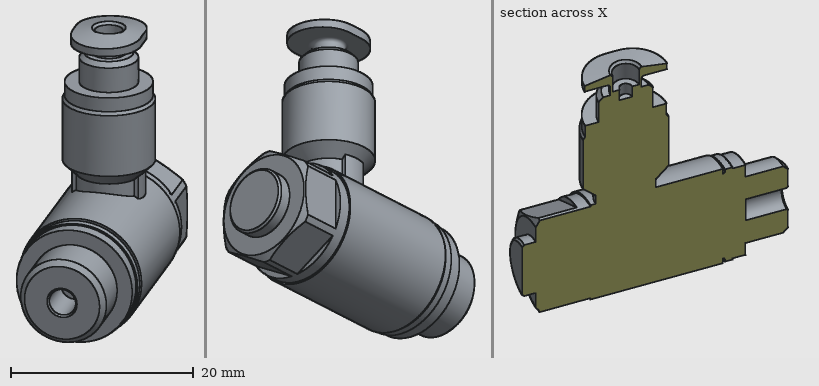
import cadquery as cq
import math

thread_end_y = -19.25
flange_front_y = -14.2
ring_front_y = -12.65
groove_front_y = -11.75
body_front_y = -11.5
body_back_y = 4.2
hex_front_y = 5.65
hex_back_y = 10.7
stub_end_y = 12.3

thread_d = 9.73
thread_chamfer = 0.6
flange_d = 13.15
ring_d = 13.5
groove_min_d = 12.2
groove_max_d = 12.8
body_d = 13.8
collar_d = 13.4
stub_d = 7.5
stub_chamfer = 0.25

hex_sides = 6
hex_across_flats = 12.0
hex_corner_d = 13.4
hex_bevel_angle = 30.0
hex_bevel_width = 0.85

inlet_d = 3.0
inlet_depth = 5.0
inlet_chamfer = 0.2

neck_top_z = 8.0
barrel_base_z = 9.5
barrel_shoulder_z = 16.65
barrel_ring_z = 17.03
barrel_top_z = 18.65
plunger_top_z = 22.08
cap_base_z = 23.55
cap_edge_z = 24.45
cap_top_z = 25.0

neck_d = 7.2
barrel_d = 10.2
barrel_ring_d = 9.7
plunger_d = 6.5
plunger_chamfer = 0.55
stem_d = 3.7
stem_fillet = 0.4

lug_d = 8.1
lug_width = 3.0

cap_length = 9.8
cap_width = 7.8

socket_mouth_d = 3.7
socket_d = 3.1
socket_depth = 2.5
socket_chamfer = (socket_mouth_d - socket_d) / 2
pilot_d = 1.5
pilot_depth = 1.5


def turned_about_y(profile):
    """Revolve (radius, y) points about the Y axis."""
    return cq.Workplane("XY").polyline(profile).close().revolve(360, (0, 0, 0), (0, 1, 0))


def turned_about_z(profile):
    """Revolve (radius, z) points about the Z axis."""
    return cq.Workplane("XZ").polyline(profile).close().revolve(360, (0, 0, 0), (0, 1, 0))


def make_body():
    thread_r = thread_d / 2
    flange_r = flange_d / 2
    ring_r = ring_d / 2
    body_r = body_d / 2
    collar_r = collar_d / 2
    stub_r = stub_d / 2
    return turned_about_y([
        (0, thread_end_y),
        (thread_r - thread_chamfer, thread_end_y),
        (thread_r, thread_end_y + thread_chamfer),
        (thread_r, flange_front_y),
        (flange_r, flange_front_y),
        (flange_r, ring_front_y),
        (ring_r, ring_front_y),
        (ring_r, groove_front_y),
        (groove_max_d / 2, groove_front_y),
        (groove_min_d / 2, body_front_y),
        (body_r, body_front_y),
        (body_r, body_back_y),
        (collar_r, body_back_y),
        (collar_r, hex_front_y),
        (stub_r, hex_front_y),
        (stub_r, stub_end_y - stub_chamfer),
        (stub_r - stub_chamfer, stub_end_y),
        (0, stub_end_y),
    ])


def make_hex():
    corner_r = hex_corner_d / 2
    bevel_length = hex_bevel_width * math.tan(math.radians(hex_bevel_angle))
    prism = (
        cq.Workplane("XZ", origin=(0, hex_front_y, 0))
        .polygon(hex_sides, hex_across_flats, circumscribed=True)
        .extrude(hex_front_y - hex_back_y)
    )
    envelope = turned_about_y([
        (0, hex_front_y),
        (corner_r, hex_front_y),
        (corner_r, hex_back_y - bevel_length),
        (corner_r - hex_bevel_width, hex_back_y),
        (0, hex_back_y),
    ])
    return prism.intersect(envelope)


def make_upright():
    """Neck, barrel, plunger and stem, starting inside the body."""
    neck_r = neck_d / 2
    barrel_r = barrel_d / 2
    barrel_ring_r = barrel_ring_d / 2
    plunger_r = plunger_d / 2
    stem_r = stem_d / 2
    return (
        cq.Workplane("XZ")
        .lineTo(neck_r, 0)
        .lineTo(neck_r, neck_top_z)
        .lineTo(barrel_r, barrel_base_z)
        .lineTo(barrel_r, barrel_shoulder_z)
        .lineTo(barrel_ring_r, barrel_ring_z)
        .lineTo(barrel_ring_r, barrel_top_z)
        .lineTo(plunger_r, barrel_top_z)
        .lineTo(plunger_r, plunger_top_z - plunger_chamfer)
        .lineTo(plunger_r - plunger_chamfer, plunger_top_z)
        .lineTo(stem_r, plunger_top_z)
        .lineTo(stem_r, cap_base_z - stem_fillet)
        .radiusArc((stem_r + stem_fillet, cap_base_z), stem_fillet)
        .lineTo(0, cap_base_z)
        .close()
        .revolve(360, (0, 0, 0), (0, 1, 0))
    )


def make_lugs():
    round_bar = cq.Workplane("XY").circle(lug_d / 2).extrude(barrel_base_z)
    strip = cq.Workplane("XY").rect(lug_d, lug_width).extrude(barrel_base_z)
    return round_bar.intersect(strip)


def make_cap():
    edge_r = cap_length / 2
    outline = (
        cq.Workplane("XY", origin=(0, 0, cap_base_z))
        .slot2D(cap_length, cap_width, 90)
        .extrude(cap_top_z - cap_base_z)
    )
    envelope = turned_about_z([
        (0, cap_base_z),
        (edge_r, cap_base_z),
        (edge_r, cap_edge_z),
        (socket_mouth_d / 2, cap_top_z),
        (0, cap_top_z),
    ])
    return outline.intersect(envelope)


def make_inlet_bore():
    bore_r = inlet_d / 2
    return turned_about_y([
        (0, thread_end_y),
        (bore_r + inlet_chamfer, thread_end_y),
        (bore_r, thread_end_y + inlet_chamfer),
        (bore_r, thread_end_y + inlet_depth),
        (0, thread_end_y + inlet_depth),
    ])


def make_socket_bore():
    socket_r = socket_d / 2
    pilot_r = pilot_d / 2
    socket_floor_z = cap_top_z - socket_depth
    return turned_about_z([
        (0, cap_top_z),
        (socket_mouth_d / 2, cap_top_z),
        (socket_r, cap_top_z - socket_chamfer),
        (socket_r, socket_floor_z),
        (pilot_r, socket_floor_z),
        (pilot_r, socket_floor_z - pilot_depth),
        (0, socket_floor_z - pilot_depth),
    ])


solid = make_body().union(make_hex()).union(make_upright()).union(make_lugs()).union(make_cap())
result = solid.cut(make_inlet_bore()).cut(make_socket_bore())